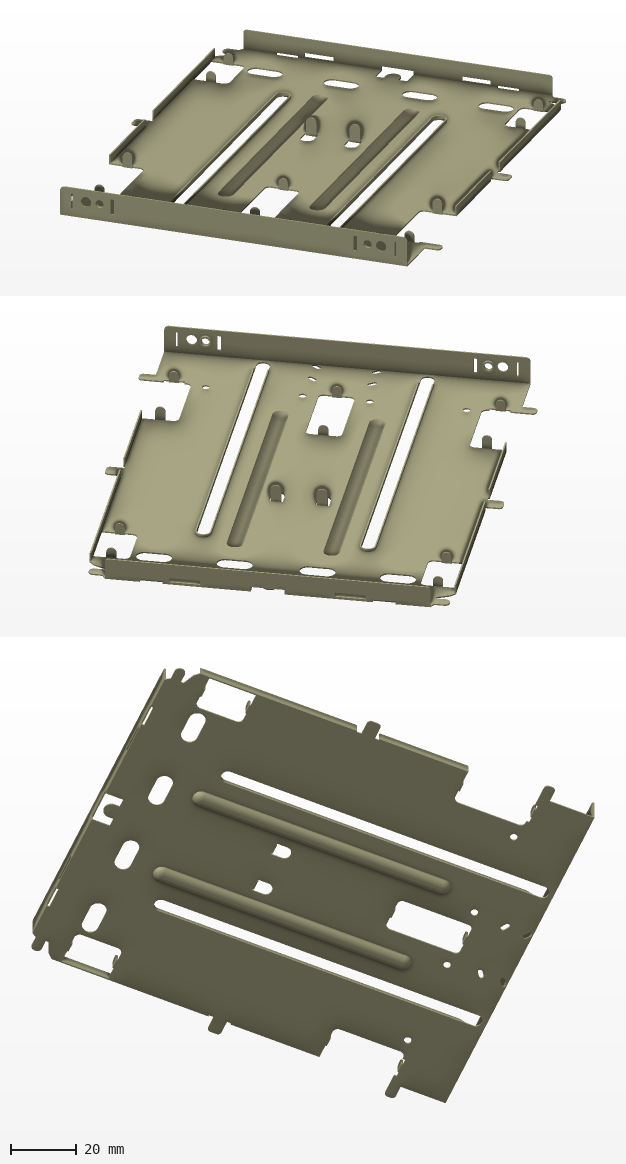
import cadquery as cq

SHEET = 0.45
LENGTH = 140.0
BACK_Y = LENGTH / 2
FRONT_Y = -LENGTH / 2
HALF_WIDTH = 56.6

EAR_REACH = 61.5
EAR_RADIUS = 1.2
FRONT_EAR_Y = (-55.1, -51.6)
MIDDLE_EAR_Y = (2.8, 7.2)
BACK_EAR_Y = (65.1, 68.4)
BACK_EAR_REACH = 55.8
BACK_EAR_RADIUS = 1.5

BACK_HALF_WIDTH = 50.3
NECK_HALF_WIDTH = 51.3
NECK_Y = 64.2
SHOULDER = (55.1, 62.5)

FRONT_FLANGE_HEIGHT = 9.4
FRONT_FLANGE_CORNER = 1.5
BACK_FLANGE_HEIGHT = 6.9
BACK_FLANGE_CORNER = 1.0
SIDE_FLANGE_HEIGHT = 3.3
SIDE_FLANGE_SPANS = ((-28.1, 1.4), (8.8, 60.9))

CUTOUT_INNER_X = 44.9
FRONT_CUTOUT_Y = (FRONT_EAR_Y[1], SIDE_FLANGE_SPANS[0][0])
BACK_CUTOUT_Y = (42.2, 57.7)
CUTOUT_RADIUS = 1.8
TAB_NOTCH_X = (47.1, 53.6)
TAB_NOTCH_DEPTH = 0.9

WINDOW_HALF_WIDTH = 5.6
WINDOW_Y = (-52.0, -27.5)
WINDOW_RADIUS = 1.6

TAB_WIDTH = 3.1
TAB_HEIGHT = 3.8
TALL_TAB_HEIGHT = 4.9
SIDE_TAB_X = 50.5

TONGUE_X = 7.15
TONGUE_OPENING_WIDTH = 4.3
TONGUE_WIDTH = 3.4
TONGUE_Y = (9.3, 15.0)
TONGUE_HEIGHT = 6.0

BACK_NOTCH_HALF_WIDTH = 5.2
BACK_NOTCH_Y = 64.0
BACK_NOTCH_HEIGHT = 1.6
BACK_TONGUE_WIDTH = 4.8
BACK_TONGUE_Y = 68.2

OBLONG_X = (12.8, 37.7)
OBLONG_Y = 55.0
OBLONG_LENGTH = 11.1
OBLONG_WIDTH = 5.2

SLOT_X = 25.45
SLOT_WIDTH = 4.2
SLOT_Y = (-68.4, 40.3)
RIM_THICKNESS = 0.4
RIM_HEIGHT = 1.4
RIM_RAMP_Y = (-64.3, -61.9)

BEAD_X = 14.95
BEAD_Y = (-40.3, 45.2)
BEAD_DEPTH = 1.5
BEAD_HALF_WIDTH = 2.8
BEAD_FLAT_HALF_WIDTH = 0.4

PIN_HOLE_X = (10.4, 40.3)
PIN_HOLE_Y = -50.3
PIN_HOLE_DIAMETER = 2.3
SLANTED_X = 9.3
SLANTED_Y = (-61.0, -68.5)
SLANTED_LENGTH = 3.1
SLANTED_WIDTH = 1.5
SLANTED_ANGLE = 35.0

FLANGE_HOLE_Z = 5.4
SCREW_HOLE_X = 48.1
SCREW_HOLE_DIAMETER = 3.3
BOSS_X = 43.7
BOSS_DIAMETER = 3.8
BOSS_BORE = 2.6
BOSS_REACH = 1.2
FLANGE_SLIT_Z = (2.6, 7.5)
FLANGE_SLITS = ((52.7, 0.5), (39.6, 1.1))

UPPER_SLIT_X = (20.9, 30.3)
UPPER_SLIT_Z = (0.8, 2.2)
FOLD_SLIT_X = (32.5, 39.5)
FOLD_SLIT_TOP = 0.9
FOLD_SLIT_WIDTH = 0.5


def box(x_span, y_span, z_span):
    """Box between two limits along each axis."""
    spans = (x_span, y_span, z_span)
    sizes = [high - low for low, high in spans]
    return cq.Workplane("XY").box(*sizes, centered=False).translate([low for low, _ in spans])


def both_sides(shape):
    """The shape together with its mirror image across the YZ plane."""
    return shape.union(shape.mirror("YZ"))


def lengthwise_slot(x, y_span, width, z_span):
    """Round-ended prism running along Y."""
    low, high = y_span
    return (
        cq.Workplane("XY", origin=(x, (low + high) / 2, z_span[0]))
        .slot2D(high - low, width, 90)
        .extrude(z_span[1] - z_span[0])
    )


def ear(reach, y_span, radius):
    return box((CUTOUT_INNER_X, reach), y_span, (0, SHEET)).edges("|Z and >X").fillet(radius)


def flat_sheet():
    half_outline = [
        (0, FRONT_Y),
        (HALF_WIDTH, FRONT_Y),
        (HALF_WIDTH, SIDE_FLANGE_SPANS[1][1]),
        SHOULDER,
        (NECK_HALF_WIDTH, NECK_Y),
        (NECK_HALF_WIDTH, BACK_EAR_Y[1]),
        (BACK_HALF_WIDTH, BACK_Y),
        (0, BACK_Y),
    ]
    half = cq.Workplane("XY").polyline(half_outline).close().extrude(SHEET)
    gap = (SIDE_FLANGE_SPANS[0][1], SIDE_FLANGE_SPANS[1][0])
    half = half.cut(box((HALF_WIDTH - SHEET, HALF_WIDTH), gap, (0, SHEET)))
    half = half.union(ear(EAR_REACH, MIDDLE_EAR_Y, EAR_RADIUS))
    half = half.union(ear(BACK_EAR_REACH, BACK_EAR_Y, BACK_EAR_RADIUS))

    front_cutout = box((CUTOUT_INNER_X, EAR_REACH), FRONT_CUTOUT_Y, (0, SHEET))
    back_cutout = box((CUTOUT_INNER_X, HALF_WIDTH - SHEET), BACK_CUTOUT_Y, (0, SHEET))
    for cutout in (front_cutout, back_cutout):
        half = half.cut(cutout.edges("|Z and <X").fillet(CUTOUT_RADIUS))
    half = half.union(ear(EAR_REACH, FRONT_EAR_Y, EAR_RADIUS))
    notch_y = (FRONT_EAR_Y[1] - TAB_NOTCH_DEPTH, FRONT_EAR_Y[1])
    half = half.cut(box(TAB_NOTCH_X, notch_y, (0, SHEET)))
    return both_sides(half)


def flanges():
    front = (
        box((-HALF_WIDTH, HALF_WIDTH), (FRONT_Y, FRONT_Y + SHEET), (0, FRONT_FLANGE_HEIGHT))
        .edges("|Y and >Z")
        .fillet(FRONT_FLANGE_CORNER)
    )
    back = (
        box((-BACK_HALF_WIDTH, BACK_HALF_WIDTH), (BACK_Y - SHEET, BACK_Y), (0, BACK_FLANGE_HEIGHT))
        .edges("|Y and >Z")
        .fillet(BACK_FLANGE_CORNER)
    )
    upright = front.union(back)
    for span in SIDE_FLANGE_SPANS:
        side = box((HALF_WIDTH - SHEET, HALF_WIDTH), span, (0, SIDE_FLANGE_HEIGHT))
        upright = upright.union(both_sides(side))
    return upright


def upright_tab(x, y, width, height):
    """Upright tab with a rounded top, one sheet thick, from Y to Y plus the sheet thickness."""
    half = width / 2
    return (
        cq.Workplane("XZ", origin=(x, y, 0))
        .moveTo(-half, 0)
        .lineTo(half, 0)
        .lineTo(half, height - half)
        .threePointArc((0, height), (-half, height - half))
        .close()
        .extrude(-SHEET)
    )


def edge_tabs():
    side_places = (
        (FRONT_EAR_Y[1] - TAB_NOTCH_DEPTH, TAB_HEIGHT),
        (FRONT_CUTOUT_Y[1] - SHEET, TALL_TAB_HEIGHT),
        (BACK_CUTOUT_Y[0], TAB_HEIGHT),
        (BACK_CUTOUT_Y[1] - SHEET, TAB_HEIGHT),
    )
    tabs = cq.Workplane("XY")
    for y, height in side_places:
        tabs = tabs.union(both_sides(upright_tab(SIDE_TAB_X, y, TAB_WIDTH, height)))
    for y in (WINDOW_Y[0], WINDOW_Y[1] - SHEET):
        tabs = tabs.union(upright_tab(0, y, TAB_WIDTH, TAB_HEIGHT))
    return tabs


def window():
    span = (-WINDOW_HALF_WIDTH, WINDOW_HALF_WIDTH)
    return box(span, WINDOW_Y, (0, SHEET)).edges("|Z").fillet(WINDOW_RADIUS)


def tongue_opening():
    half = TONGUE_OPENING_WIDTH / 2
    front, back = TONGUE_Y
    opening = (
        cq.Workplane("XY")
        .moveTo(TONGUE_X - half, back)
        .lineTo(TONGUE_X - half, front + half)
        .threePointArc((TONGUE_X, front), (TONGUE_X + half, front + half))
        .lineTo(TONGUE_X + half, back)
        .close()
        .extrude(SHEET)
    )
    return both_sides(opening)


def tongues():
    return both_sides(upright_tab(TONGUE_X, TONGUE_Y[1] - SHEET, TONGUE_WIDTH, TONGUE_HEIGHT))


def back_notch():
    span = (-BACK_NOTCH_HALF_WIDTH, BACK_NOTCH_HALF_WIDTH)
    notch = box(span, (BACK_NOTCH_Y, BACK_Y), (0, BACK_NOTCH_HEIGHT))
    tongue_y = (BACK_NOTCH_Y - BACK_TONGUE_WIDTH, BACK_TONGUE_Y)
    return notch.cut(lengthwise_slot(0, tongue_y, BACK_TONGUE_WIDTH, (0, SHEET)))


def oblong_holes():
    places = [(side * x, OBLONG_Y) for x in OBLONG_X for side in (-1, 1)]
    return cq.Workplane("XY").pushPoints(places).slot2D(OBLONG_LENGTH, OBLONG_WIDTH).extrude(SHEET)


def slot_rims():
    """Raised rims that ramp down to the sheet shortly before the front end of each slot."""
    rim_y = (SLOT_Y[0] - RIM_THICKNESS, SLOT_Y[1] + RIM_THICKNESS)
    rim_width = SLOT_WIDTH + 2 * RIM_THICKNESS
    rim = lengthwise_slot(SLOT_X, rim_y, rim_width, (0, RIM_HEIGHT))
    ramp_foot, ramp_top = RIM_RAMP_Y
    side_profile = [
        (ramp_foot, 0),
        (ramp_foot, SHEET),
        (ramp_top, RIM_HEIGHT),
        (rim_y[1], RIM_HEIGHT),
        (rim_y[1], 0),
    ]
    envelope = (
        cq.Workplane("YZ", origin=(SLOT_X - rim_width / 2, 0, 0))
        .polyline(side_profile)
        .close()
        .extrude(rim_width)
    )
    return both_sides(rim.intersect(envelope))


def long_slots():
    return both_sides(lengthwise_slot(SLOT_X, SLOT_Y, SLOT_WIDTH, (0, RIM_HEIGHT)))


def bead_body(inset):
    """Round-ended trough of arc section; a positive inset gives the hollow inside its wall."""
    arc_width = BEAD_HALF_WIDTH - BEAD_FLAT_HALF_WIDTH
    outer_radius = (arc_width**2 + BEAD_DEPTH**2) / (2 * BEAD_DEPTH)
    radius = outer_radius - inset
    top = inset
    bottom = inset - BEAD_DEPTH
    drop = outer_radius - BEAD_DEPTH - inset
    half_width = BEAD_FLAT_HALF_WIDTH + (radius**2 - drop**2) ** 0.5
    diagonal = radius / 2**0.5
    middle = (BEAD_FLAT_HALF_WIDTH + diagonal, bottom + radius - diagonal)
    front = BEAD_Y[0] + BEAD_HALF_WIDTH
    back = BEAD_Y[1] - BEAD_HALF_WIDTH

    def half_section(origin_y):
        return (
            cq.Workplane("XZ", origin=(BEAD_X, origin_y, 0))
            .moveTo(0, top)
            .lineTo(0, bottom)
            .lineTo(BEAD_FLAT_HALF_WIDTH, bottom)
            .threePointArc(middle, (half_width, top))
            .close()
        )

    bead = half_section(front).extrude(front - back)
    bead = bead.union(bead.mirror("YZ", (BEAD_X, 0, 0)))
    for end in (front, back):
        bead = bead.union(half_section(end).revolve(360, (0, 0, 0), (0, 1, 0)))
    return both_sides(bead)


def small_sheet_holes():
    places = [(side * x, PIN_HOLE_Y) for x in PIN_HOLE_X for side in (-1, 1)]
    holes = cq.Workplane("XY").pushPoints(places).circle(PIN_HOLE_DIAMETER / 2).extrude(SHEET)
    slanted = (
        cq.Workplane("XY")
        .pushPoints([(SLANTED_X, y) for y in SLANTED_Y])
        .slot2D(SLANTED_LENGTH, SLANTED_WIDTH, -SLANTED_ANGLE)
        .extrude(SHEET)
    )
    return holes.union(both_sides(slanted))


def flange_cylinder(x, diameter, length):
    """Cylinder along Y that starts on the outer face of the front flange."""
    plane = cq.Workplane("XZ", origin=(x, FRONT_Y, FLANGE_HOLE_Z))
    return both_sides(plane.circle(diameter / 2).extrude(-length))


def front_flange_openings():
    openings = flange_cylinder(SCREW_HOLE_X, SCREW_HOLE_DIAMETER, SHEET)
    openings = openings.union(flange_cylinder(BOSS_X, BOSS_BORE, BOSS_REACH))
    for x, width in FLANGE_SLITS:
        slit = box((x - width / 2, x + width / 2), (FRONT_Y, FRONT_Y + SHEET), FLANGE_SLIT_Z)
        openings = openings.union(both_sides(slit))
    return openings


def back_flange_slits():
    upper = box(UPPER_SLIT_X, (BACK_Y - SHEET, BACK_Y), UPPER_SLIT_Z)
    fold = box(FOLD_SLIT_X, (BACK_Y - SHEET - FOLD_SLIT_WIDTH, BACK_Y), (0, FOLD_SLIT_TOP))
    return both_sides(upper.union(fold))


result = flat_sheet().union(flanges()).cut(window()).union(edge_tabs())
result = result.cut(tongue_opening()).union(tongues())
result = result.cut(back_notch()).cut(oblong_holes())
result = result.union(slot_rims()).cut(long_slots())
result = result.union(bead_body(0)).cut(bead_body(SHEET))
result = result.cut(small_sheet_holes())
result = result.union(flange_cylinder(BOSS_X, BOSS_DIAMETER, BOSS_REACH)).cut(front_flange_openings())
result = result.cut(back_flange_slits())